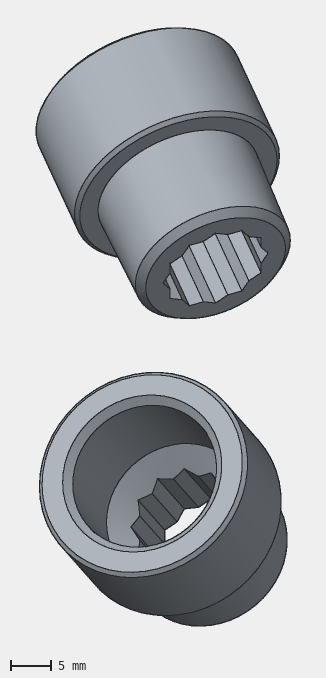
import cadquery as cq
import math

total_length = 28.5
body_radius = 27.0 / 2
body_length = 15.0
body_chamfer = 0.5

nose_base_radius = 10.57
nose_tip_radius = 10.2
nose_chamfer = 1.0

bore_radius = 18.65 / 2
bore_chamfer = 1.0
bore_depth = body_length
socket_across_flats = 11.97
socket_corner_radius = socket_across_flats / 2 / math.cos(math.radians(30))
hexagon_turns = (0, 30)

nose_chamfer_start = total_length - nose_chamfer
cone_end = bore_depth + bore_radius


def turned(points):
    """Revolve a closed outline of (x, radius) points about the X axis."""
    return cq.Workplane("XY").polyline(points).close().revolve(360, (0, 0, 0), (1, 0, 0))


def outer_shape():
    return turned([
        (0, 0),
        (0, body_radius - body_chamfer),
        (body_chamfer, body_radius),
        (body_length - body_chamfer, body_radius),
        (body_length, body_radius - body_chamfer),
        (body_length, nose_base_radius),
        (nose_chamfer_start, nose_tip_radius),
        (total_length, nose_tip_radius - nose_chamfer),
        (total_length, 0),
    ])


def bore():
    return turned([
        (0, 0),
        (0, bore_radius + bore_chamfer),
        (bore_chamfer, bore_radius),
        (bore_depth, bore_radius),
        (cone_end, 0),
    ])


def hexagon_hole(turn):
    """Hexagonal prism through the full length, turned about the X axis by an angle in degrees."""
    prism = cq.Workplane("YZ").polygon(6, 2 * socket_corner_radius).extrude(total_length)
    return prism.rotate((0, 0, 0), (1, 0, 0), turn)


result = outer_shape().cut(bore())
for turn in hexagon_turns:
    result = result.cut(hexagon_hole(turn))